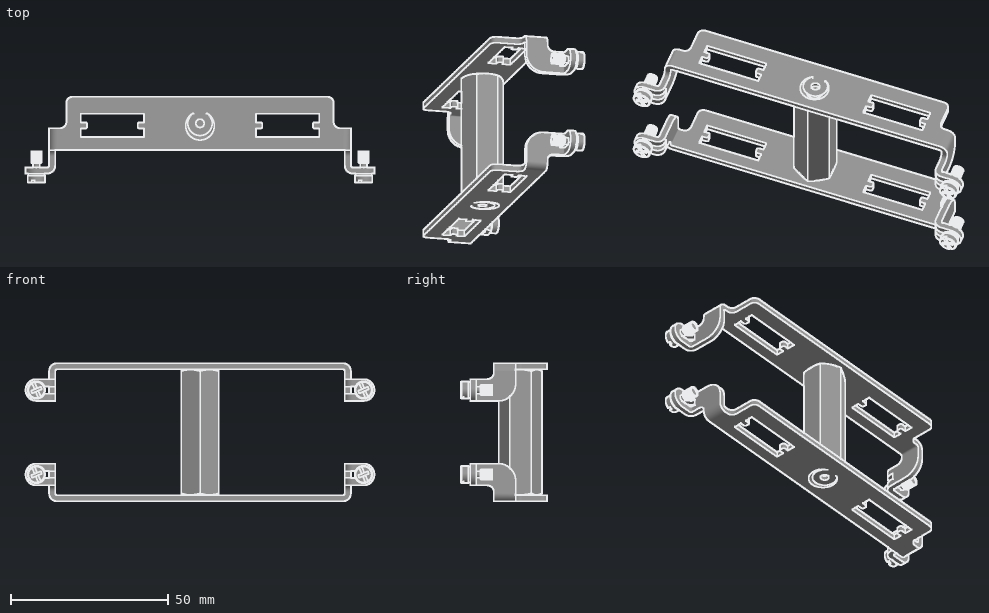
import cadquery as cq
import math

LENGTH = 111.0
DEPTH = 27.4
HEIGHT = 44.0

SHEET = 2.0
BEND_OUTER_RADIUS = 2.5
BEND_INNER_RADIUS = BEND_OUTER_RADIUS - SHEET
PLATE_DEPTH = 17.0
PLATE_BACK_LENGTH = 85.0
PLATE_CORNER_RADIUS = 2.0
FLANGE_SPAN = 96.0
FLANGE_DEPTH = 7.0
FLANGE_CORNER_RADIUS = 5.5

ARM_WIDTH = 7.0
ARM_CENTER_Z = 13.4
ARM_FILLET = 2.0
FOOT_FRONT_Y = -16.0
FOOT_SLOT_WIDTH = 2.2
FOOT_SLOT_END_Y = -12.4

WINDOW_CENTER_X = 27.9
WINDOW_CENTER_Y = -0.7
WINDOW_LENGTH = 20.1
WINDOW_DEPTH = 7.3
WINDOW_TAB = 2.0
WINDOW_TAB_TIP_RADIUS = 0.5

POST_ACROSS_FLATS = 12.0
POST_CHAMFER_RUN = 1.1
POST_CHAMFER_RISE = 0.5
COUNTERSINK_RADIUS = 4.5
COUNTERSINK_CENTER_Y = -0.8
POST_SCREW_RADIUS = 3.9
POST_SOCKET_RADIUS = 1.3
POST_SOCKET_DEPTH = 1.7

THREAD_DIAMETER = 3.3
THREAD_TIP_Y = -8.9
THREAD_LENGTH = 3.9
THREAD_CHAMFER = 0.3
THREAD_PITCH = 0.5
THREAD_TURNS = 7
THREAD_GROOVE_DEPTH = 0.28
THREAD_GROOVE_WIDTH = 0.4
SHANK_DIAMETER = FOOT_SLOT_WIDTH
WASHER_DIAMETER = 5.2
WASHER_THICKNESS = 0.7
HEAD_DIAMETER = 5.5
HEAD_CHAMFER = 0.2
DRIVE_ANGLE = 113
DRIVE_WIDTH = 0.9
DRIVE_SLOT_DEPTH = 0.9
DRIVE_CROSS_LENGTH = 3.3
DRIVE_CROSS_DEPTH = 1.3

TOP_Z = HEIGHT / 2
PLATE_UNDER_Z = TOP_Z - SHEET
PLATE_FRONT_Y = -PLATE_DEPTH / 2
PLATE_BACK_Y = PLATE_DEPTH / 2
FLANGE_BACK_Y = PLATE_FRONT_Y + FLANGE_DEPTH
FLANGE_OUTER_X = FLANGE_SPAN / 2
FLANGE_INNER_X = FLANGE_OUTER_X - SHEET
ARM_TOP_Z = ARM_CENTER_Z + ARM_WIDTH / 2
ARM_BOTTOM_Z = ARM_CENTER_Z - ARM_WIDTH / 2
FOOT_BACK_Y = FOOT_FRONT_Y + SHEET
HEAD_FRONT_Y = PLATE_BACK_Y - DEPTH
HEAD_BACK_Y = FOOT_FRONT_Y - WASHER_THICKNESS
FOOT_SCREW_X = LENGTH / 2 - ARM_WIDTH / 2


def box(x_range, y_range, z_range):
    """Box given by its lower and upper limits along each axis."""
    size = [high - low for low, high in (x_range, y_range, z_range)]
    return cq.Workplane("XY").box(*size, centered=False).translate((x_range[0], y_range[0], z_range[0]))


def rod(x, z, back_y, length, diameter):
    """Cylinder parallel to Y that runs forward (-Y) from back_y."""
    return cq.Workplane("XZ", origin=(x, back_y, z)).circle(diameter / 2).extrude(length)


def cone_down(center_y, top_radius):
    """90 degree cone that narrows downward from the top face through the sheet."""
    solid = cq.Solid.makeCone(top_radius - SHEET, top_radius, SHEET)
    return cq.Workplane(obj=solid).translate((0, center_y, PLATE_UNDER_Z))


def window(center_x):
    """Through cutter with a round-tipped locking tab left standing at each end."""
    sheet_z = (PLATE_UNDER_Z, TOP_Z)
    cutter = cq.Workplane("XY", origin=(center_x, WINDOW_CENTER_Y, PLATE_UNDER_Z))
    cutter = cutter.rect(WINDOW_LENGTH, WINDOW_DEPTH).extrude(SHEET)
    tab_y = (WINDOW_CENTER_Y - WINDOW_TAB / 2, WINDOW_CENTER_Y + WINDOW_TAB / 2)
    left_x = center_x - WINDOW_LENGTH / 2
    right_x = center_x + WINDOW_LENGTH / 2
    left_tab = box((left_x, left_x + WINDOW_TAB), tab_y, sheet_z)
    right_tab = box((right_x - WINDOW_TAB, right_x), tab_y, sheet_z)
    cutter = cutter.cut(left_tab.edges("|Z and >X").fillet(WINDOW_TAB_TIP_RADIUS))
    return cutter.cut(right_tab.edges("|Z and <X").fillet(WINDOW_TAB_TIP_RADIUS))


def top_plate():
    """Upper plate, flat between the bends, with a narrower back part, windows and countersink."""
    sheet_z = (PLATE_UNDER_Z, TOP_Z)
    bend_x = FLANGE_OUTER_X - BEND_OUTER_RADIUS
    back_x = PLATE_BACK_LENGTH / 2
    front = box((-bend_x, bend_x), (PLATE_FRONT_Y, FLANGE_BACK_Y), sheet_z)
    back = box((-back_x, back_x), (FLANGE_BACK_Y, PLATE_BACK_Y), sheet_z)
    plate = front.union(back.edges("|Z and >Y").fillet(PLATE_CORNER_RADIUS))
    inner_corners = cq.selectors.BoxSelector(
        (-back_x - SHEET, FLANGE_BACK_Y - SHEET, 0), (back_x + SHEET, FLANGE_BACK_Y + SHEET, HEIGHT)
    )
    plate = plate.edges("|Z").edges(inner_corners).fillet(PLATE_CORNER_RADIUS)
    for side in (-1, 1):
        plate = plate.cut(window(side * WINDOW_CENTER_X))
    return plate.cut(cone_down(COUNTERSINK_CENTER_Y, COUNTERSINK_RADIUS))


def right_flange_side_profile():
    """Side outline of flange and arm, as a slab that covers the flange, bends and foot along X."""
    slab_start_x = FLANGE_OUTER_X - BEND_OUTER_RADIUS
    corner_run = FLANGE_CORNER_RADIUS * (1 - math.sqrt(0.5))
    return (
        cq.Workplane("YZ", origin=(slab_start_x, 0, 0))
        .moveTo(FLANGE_BACK_Y, TOP_Z)
        .lineTo(FLANGE_BACK_Y, ARM_BOTTOM_Z + FLANGE_CORNER_RADIUS)
        .threePointArc(
            (FLANGE_BACK_Y - corner_run, ARM_BOTTOM_Z + corner_run),
            (FLANGE_BACK_Y - FLANGE_CORNER_RADIUS, ARM_BOTTOM_Z),
        )
        .lineTo(FOOT_FRONT_Y, ARM_BOTTOM_Z)
        .lineTo(FOOT_FRONT_Y, ARM_TOP_Z)
        .lineTo(PLATE_FRONT_Y - ARM_FILLET, ARM_TOP_Z)
        .radiusArc((PLATE_FRONT_Y, ARM_TOP_Z + ARM_FILLET), -ARM_FILLET)
        .lineTo(PLATE_FRONT_Y, TOP_Z)
        .close()
        .extrude(LENGTH / 2 - slab_start_x)
    )


def right_arm():
    """Right upper end of the bracket: bend, flange, second bend and a slotted round-ended foot."""
    plate_end_x = FLANGE_OUTER_X - BEND_OUTER_RADIUS
    foot_bend_end_x = FLANGE_INNER_X + BEND_OUTER_RADIUS
    foot_bend_start_y = FOOT_FRONT_Y + BEND_OUTER_RADIUS
    flange = (
        cq.Workplane("XZ", origin=(0, FLANGE_BACK_Y, 0))
        .moveTo(plate_end_x, TOP_Z)
        .radiusArc((FLANGE_OUTER_X, TOP_Z - BEND_OUTER_RADIUS), BEND_OUTER_RADIUS)
        .lineTo(FLANGE_OUTER_X, ARM_BOTTOM_Z)
        .lineTo(FLANGE_INNER_X, ARM_BOTTOM_Z)
        .lineTo(FLANGE_INNER_X, TOP_Z - BEND_OUTER_RADIUS)
        .radiusArc((plate_end_x, PLATE_UNDER_Z), -BEND_INNER_RADIUS)
        .close()
        .extrude(FLANGE_BACK_Y - foot_bend_start_y)
    )
    foot = (
        cq.Workplane("XY", origin=(0, 0, ARM_BOTTOM_Z))
        .moveTo(FLANGE_INNER_X, foot_bend_start_y)
        .radiusArc((foot_bend_end_x, FOOT_FRONT_Y), -BEND_OUTER_RADIUS)
        .lineTo(LENGTH / 2, FOOT_FRONT_Y)
        .lineTo(LENGTH / 2, FOOT_BACK_Y)
        .lineTo(foot_bend_end_x, FOOT_BACK_Y)
        .radiusArc((FLANGE_OUTER_X, foot_bend_start_y), BEND_INNER_RADIUS)
        .close()
        .extrude(ARM_WIDTH)
    )
    arm = flange.union(foot).intersect(right_flange_side_profile()).cut(foot_end_trim())
    slot_z = (ARM_CENTER_Z - FOOT_SLOT_WIDTH / 2, ARM_CENTER_Z + FOOT_SLOT_WIDTH / 2)
    return arm.cut(box((FLANGE_INNER_X, FOOT_SCREW_X), (FOOT_FRONT_Y, FOOT_SLOT_END_Y), slot_z))


def foot_end_trim():
    """Material outside the half-round end of the right upper foot."""
    corner = box((FOOT_SCREW_X, LENGTH / 2), (FOOT_FRONT_Y, FOOT_BACK_Y), (ARM_BOTTOM_Z, ARM_TOP_Z))
    return corner.cut(rod(FOOT_SCREW_X, ARM_CENTER_Z, FOOT_BACK_Y, SHEET, ARM_WIDTH))


def upper_bracket():
    """Upper plate with its two mirrored arms and the countersunk screw head that holds the post."""
    arm = right_arm()
    bracket = top_plate().union(arm).union(arm.mirror("YZ"))
    bracket = bracket.union(cone_down(0, POST_SCREW_RADIUS))
    socket = cq.Workplane("XY", origin=(0, 0, TOP_Z)).circle(POST_SOCKET_RADIUS).extrude(-POST_SOCKET_DEPTH)
    return bracket.cut(socket)


def post():
    """Hexagonal post with a corner along -Y; a turned bevel takes off the corners at both ends."""
    across_corners = POST_ACROSS_FLATS / math.cos(math.pi / 6)
    length = 2 * PLATE_UNDER_Z
    hexagon = cq.Workplane("XY").polygon(6, across_corners).extrude(length / 2, both=True)
    hexagon = hexagon.rotate((0, 0, 0), (0, 0, 1), 30)
    turned = cq.Workplane("XY").circle(across_corners / 2).extrude(length / 2, both=True)
    turned = turned.faces(">Z").chamfer(POST_CHAMFER_RISE, POST_CHAMFER_RUN)
    turned = turned.faces("<Z").chamfer(POST_CHAMFER_RISE, POST_CHAMFER_RUN)
    return hexagon.intersect(turned)


def thread_groove(x, z, y):
    """V-shaped ring that stands for one turn of the thread."""
    crest = THREAD_DIAMETER / 2
    half_width = THREAD_GROOVE_WIDTH / 2
    profile = [(crest, -half_width), (crest - THREAD_GROOVE_DEPTH, 0), (crest, half_width)]
    return cq.Workplane("XY", origin=(x, y, z)).polyline(profile).close().revolve(360, (0, 0), (0, 1))


def foot_screw(x, z):
    """Captive screw: thread behind the foot, waisted shank, washer and head with a combined drive."""
    thread = rod(x, z, THREAD_TIP_Y, THREAD_LENGTH, THREAD_DIAMETER).faces("<Y").chamfer(THREAD_CHAMFER)
    for turn in range(THREAD_TURNS):
        thread = thread.cut(thread_groove(x, z, THREAD_TIP_Y - (turn + 0.5) * THREAD_PITCH))
    shank = rod(x, z, THREAD_TIP_Y, THREAD_TIP_Y - FOOT_FRONT_Y, SHANK_DIAMETER)
    washer = rod(x, z, FOOT_FRONT_Y, WASHER_THICKNESS, WASHER_DIAMETER)
    head = rod(x, z, HEAD_BACK_Y, HEAD_BACK_Y - HEAD_FRONT_Y, HEAD_DIAMETER)
    head = head.faces("<Y").chamfer(HEAD_CHAMFER)
    drive_face = cq.Workplane("XZ", origin=(x, HEAD_FRONT_Y, z)).transformed(rotate=(0, 0, DRIVE_ANGLE))
    head = head.cut(drive_face.rect(HEAD_DIAMETER, DRIVE_WIDTH).extrude(-DRIVE_SLOT_DEPTH))
    head = head.cut(drive_face.rect(DRIVE_WIDTH, DRIVE_CROSS_LENGTH).extrude(-DRIVE_CROSS_DEPTH))
    return thread.union(shank).union(washer).union(head)


bracket = upper_bracket()
result = post().union(bracket).union(bracket.mirror("XY"))
for side_x in (-1, 1):
    for side_z in (-1, 1):
        result = result.union(foot_screw(side_x * FOOT_SCREW_X, side_z * ARM_CENTER_Z))